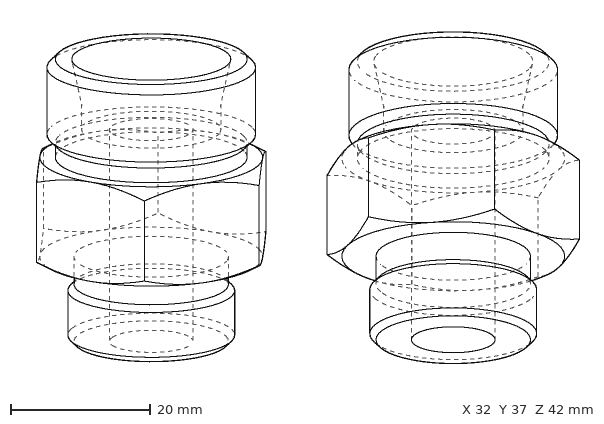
import cadquery as cq
import math

total_height = 42.0
hex_bottom = 12.6
hex_top = 27.4

upper_diameter = 30.0
upper_neck_diameter = 27.55
upper_neck_length = 2.2
upper_chamfer = (upper_diameter - upper_neck_diameter) / 2

lower_diameter = 24.0
lower_neck_diameter = 22.18
lower_neck_length = 4.1
lower_chamfer = (lower_diameter - lower_neck_diameter) / 2

across_flats = 32.0
across_corners = across_flats / math.cos(math.radians(30))
hex_chamfer_angle = 30.0

cone_mouth_diameter = 22.85
socket_diameter = 20.0
bore_diameter = 12.0
cone_half_angle = 12.0
socket_depth = 10.5


def revolve_profile(points):
    """Revolve a closed (radius, height) outline around the Z axis."""
    return cq.Workplane("XZ").polyline(points).close().revolve(360, (0, 0), (0, 1))


def make_threaded_ends():
    """Both round ends and their necks, joined by a core through the hexagon."""
    upper = upper_diameter / 2
    upper_neck = upper_neck_diameter / 2
    lower = lower_diameter / 2
    lower_neck = lower_neck_diameter / 2
    upper_neck_top = hex_top + upper_neck_length
    lower_neck_bottom = hex_bottom - lower_neck_length
    return revolve_profile([
        (0, 0),
        (lower - lower_chamfer, 0),
        (lower, lower_chamfer),
        (lower, lower_neck_bottom - lower_chamfer),
        (lower_neck, lower_neck_bottom),
        (lower_neck, hex_top),
        (upper_neck, hex_top),
        (upper_neck, upper_neck_top),
        (upper, upper_neck_top + upper_chamfer),
        (upper, total_height - upper_chamfer),
        (upper - upper_chamfer, total_height),
        (0, total_height),
    ])


def make_hexagon():
    """Hexagon whose corners are turned to a cone on both faces."""
    prism = (
        cq.Workplane("XY", origin=(0, 0, hex_bottom))
        .transformed(rotate=(0, 0, 90))
        .polygon(6, across_corners)
        .extrude(hex_top - hex_bottom)
    )
    face_radius = across_flats / 2
    corner_radius = across_corners / 2
    corner_drop = (corner_radius - face_radius) * math.tan(math.radians(hex_chamfer_angle))
    envelope = revolve_profile([
        (0, hex_bottom),
        (face_radius, hex_bottom),
        (corner_radius, hex_bottom + corner_drop),
        (corner_radius, hex_top - corner_drop),
        (face_radius, hex_top),
        (0, hex_top),
    ])
    return prism.intersect(envelope)


def make_bore():
    """Conical seat, cylindrical socket and through bore as one solid."""
    mouth = cone_mouth_diameter / 2
    socket = socket_diameter / 2
    bore = bore_diameter / 2
    cone_depth = (mouth - socket) / math.tan(math.radians(cone_half_angle))
    socket_floor = total_height - socket_depth
    return revolve_profile([
        (0, 0),
        (bore, 0),
        (bore, socket_floor),
        (socket, socket_floor),
        (socket, total_height - cone_depth),
        (mouth, total_height),
        (0, total_height),
    ])


result = make_threaded_ends().union(make_hexagon()).cut(make_bore())